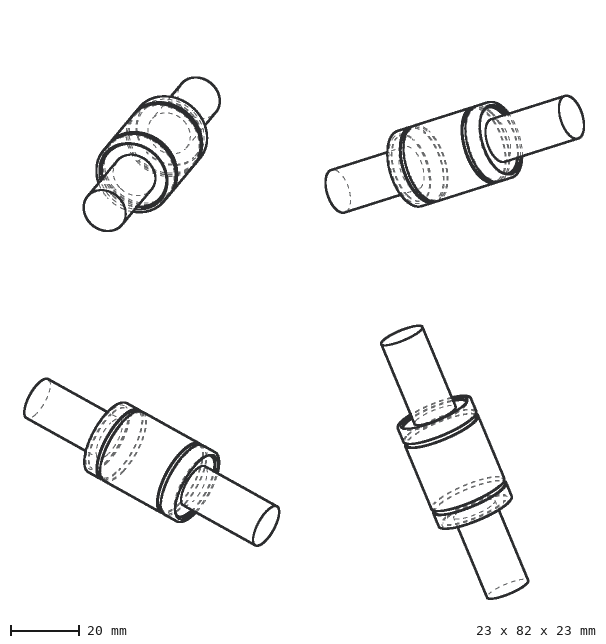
import cadquery as cq

shaft_diameter = 13.0
shaft_length = 82.0

body_diameter = 23.0
body_length = 32.0
edge_radius = 0.2

groove_diameter = 22.0
groove_width = 1.3
groove_end_distance = 4.5

recess_diameter = 20.0
recess_depth = 0.8
recess_rim_chamfer = 0.5


def cylinder(diameter, length):
    """Solid cylinder along Y, centred on the origin."""
    return cq.Workplane("XZ", origin=(0, length / 2, 0)).circle(diameter / 2).extrude(length)


def groove_ring():
    """Ring of material removed by the groove near the +Y end of the body."""
    centre_y = body_length / 2 - groove_end_distance - groove_width / 2
    outer = cylinder(body_diameter, groove_width)
    inner = cylinder(groove_diameter, groove_width)
    return outer.cut(inner).translate((0, centre_y, 0))


def end_recess():
    """Disc with a flared rim, removed from the +Y end of the body."""
    mouth_y = body_length / 2
    floor_y = mouth_y - recess_depth
    recess_radius = recess_diameter / 2
    return (
        cq.Workplane("XY")
        .moveTo(0, floor_y)
        .lineTo(recess_radius, floor_y)
        .lineTo(recess_radius, mouth_y - recess_rim_chamfer)
        .lineTo(recess_radius + recess_rim_chamfer, mouth_y)
        .lineTo(0, mouth_y)
        .close()
        .revolve(360, (0, 0, 0), (0, 1, 0))
    )


body = cylinder(body_diameter, body_length).edges("%CIRCLE").fillet(edge_radius)
for cutter in (groove_ring(), end_recess()):
    body = body.cut(cutter).cut(cutter.mirror("XZ"))

result = body.union(cylinder(shaft_diameter, shaft_length))